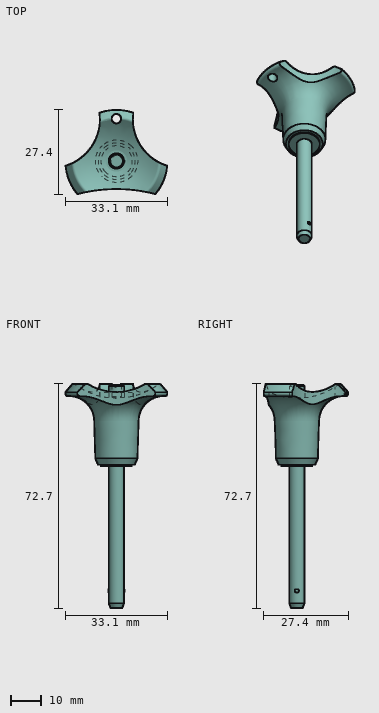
import cadquery as cq
import math


pin_radius = 2.5
pin_length = 46.0
tip_radius = 1.9
tip_length = 1.5

ball_radius = 0.95
ball_projection = 0.2
ball_height = -40.4

collar_radius = 5.05
collar_height = 0.4
barrel_foot_radius = 5.95
barrel_bottom_radius = 6.88
barrel_bottom_height = 2.5
barrel_top_radius = 7.25
barrel_top_height = 14.7

handle_height = 26.7
head_radius = 16.6
flare_radius = 8.0
rim_fillet_radius = 0.8
rim_slope_angle = 48.7
crest_radius = 0.82
crest_position = 13.9
dish_radius = 22.5

side_scallop_radius = 15.75
side_scallop_x = 21.13
side_scallop_y = 13.5
front_scallop_radius = 50.0
front_scallop_depth_y = -9.15

lanyard_hole_radius = 1.5
lanyard_hole_y = 13.7

button_radius = 2.5
button_top_height = handle_height - 0.35
button_chamfer = 0.4
bushing_radius = 3.45

crest_center = (crest_position, handle_height - crest_radius)
dish_to_crest = dish_radius + crest_radius
dish_center_height = crest_center[1] + math.sqrt(dish_to_crest**2 - crest_position**2)
crest_to_dish_angle = 180 - math.degrees(math.acos(crest_position / dish_to_crest))


def point_on_circle(center, radius, angle):
    """Point of the profile plane at an angle, in degrees, on a circle."""
    turn = math.radians(angle)
    return (center[0] + radius * math.cos(turn), center[1] + radius * math.sin(turn))


def dish_point(distance):
    """Point of the dish at a distance from the axis."""
    return (distance, dish_center_height - math.sqrt(dish_radius**2 - distance**2))


def make_turned_handle():
    """Barrel, flare and dished head as one solid of revolution."""
    flare_center = (barrel_top_radius + flare_radius, barrel_top_height)
    flare_middle = point_on_circle(flare_center, flare_radius, 135)
    flare_top = point_on_circle(flare_center, flare_radius, 90)

    rim_center = (head_radius - rim_fillet_radius, flare_top[1] + rim_fillet_radius)
    rim_fillet_start = (rim_center[0], flare_top[1])
    rim_fillet_middle = point_on_circle(rim_center, rim_fillet_radius, -45)
    rim_fillet_end = (head_radius, rim_center[1])

    crest_outer = point_on_circle(crest_center, crest_radius, 90 - rim_slope_angle)
    crest_top = (crest_position, handle_height)
    crest_inner = point_on_circle(crest_center, crest_radius, crest_to_dish_angle)
    cone_drop = (head_radius - crest_outer[0]) * math.tan(math.radians(rim_slope_angle))
    cone_bottom = (head_radius, crest_outer[1] - cone_drop)

    bushing_edge = dish_point(bushing_radius)
    dish_middle = dish_point((bushing_radius + crest_inner[0]) / 2)

    profile = (
        cq.Workplane("XZ")
        .moveTo(0, 0)
        .lineTo(collar_radius, 0)
        .lineTo(collar_radius, collar_height)
        .lineTo(barrel_foot_radius, collar_height)
        .lineTo(barrel_bottom_radius, barrel_bottom_height)
        .lineTo(barrel_top_radius, barrel_top_height)
        .threePointArc(flare_middle, flare_top)
        .lineTo(*rim_fillet_start)
        .threePointArc(rim_fillet_middle, rim_fillet_end)
        .lineTo(*cone_bottom)
        .lineTo(*crest_outer)
        .threePointArc(crest_top, crest_inner)
        .threePointArc(dish_middle, bushing_edge)
        .lineTo(0, bushing_edge[1])
        .close()
    )
    return profile.revolve(360, (0, 0, 0), (0, 1, 0))


def vertical_cutter(x, y, radius):
    """Upright cylinder over the full height of the handle."""
    return cq.Workplane("XY").center(x, y).circle(radius).extrude(handle_height)


def make_handle():
    handle = make_turned_handle()
    for side in (-1, 1):
        handle = handle.cut(vertical_cutter(side * side_scallop_x, side_scallop_y, side_scallop_radius))
    front_scallop_y = front_scallop_depth_y - front_scallop_radius
    handle = handle.cut(vertical_cutter(0, front_scallop_y, front_scallop_radius))
    return handle.cut(vertical_cutter(0, lanyard_hole_y, lanyard_hole_radius))


def make_button():
    button = cq.Workplane("XY").circle(button_radius).extrude(button_top_height)
    return button.faces(">Z").chamfer(button_chamfer)


def make_pin():
    """Pin with a tapered tip, reaching into the collar at its upper end."""
    pin = (
        cq.Workplane("XY", origin=(0, 0, -pin_length))
        .circle(pin_radius)
        .extrude(pin_length + collar_height)
        .faces("<Z")
        .chamfer(tip_length, pin_radius - tip_radius)
    )
    ball_offset = pin_radius + ball_projection - ball_radius
    for side in (-1, 1):
        ball = cq.Workplane("XY", origin=(side * ball_offset, 0, ball_height)).sphere(ball_radius)
        pin = pin.union(ball)
    return pin


result = make_handle().union(make_button()).union(make_pin())